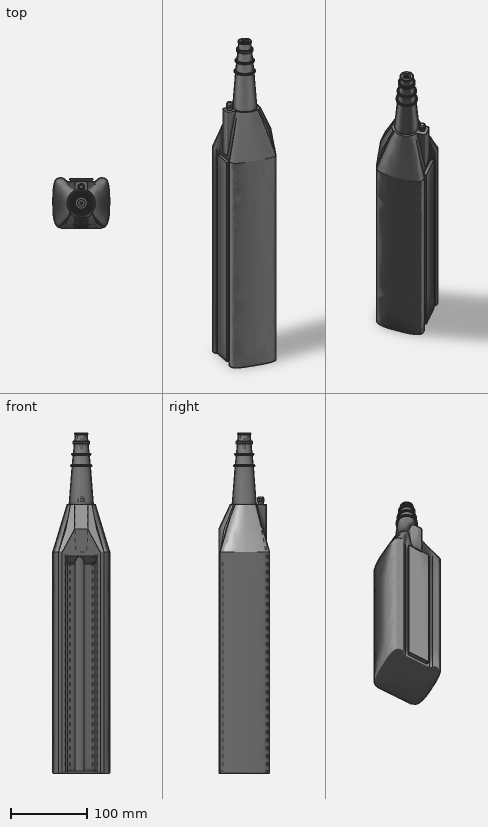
import cadquery as cq
import math

total_height = 448.0
shoulder_z = 291.2
front_crest_z = 321.3
neck_z = 353.5

half_width = 37.5
front_y = -33.5
lobe_y = 33.5
front_flat_half = 25.0
front_edge_x = 30.0
front_edge_y = -31.7
front_corner_mid = (36.2, -20.0)
rear_corner_mid = (36.1, 23.5)
lobe_x = 27.0
front_corner_direction = (0.85, 0.53)
side_direction = (0, 1)
lobe_direction = (-1, 0)
lobe_inner_mid = (23.3, 32.6)
lobe_foot = (21.2, 30.6)
back_half = 18.0
back_y = 28.4
bottom_fillet = 1.8

neck_radius = 18.6

nose_crest_half = 8.7
nose_crest_flank = (20.3, -26.5)
nose_neck_y = -18.4
nose_neck_flank = (14.2, -14.0)

recess_half = 21.0
recess_bottom_z = 3.4
recess_top_z = 286.0
recess_depth = 5.6
recess_side_run = 2.8
recess_top_run = 10.5
rib_x = -2.2
rib_radius = 6.2
rib_inset = 0.3

boss_half = 8.0
boss_rear_y = 29.0
boss_corner = 3.5

plate_root_y = 25.0
plate_foot_half = 14.2
plate_foot_y = 30.2
plate_lip_half = 15.4
plate_lip_y = 31.2
plate_face_half = 14.8
plate_face_y = 32.6

sleeve_base_radius = 16.0
sleeve_waist_radius = 12.0
sleeve_waist_z = 405.0
sleeve_top_radius = 7.6
sleeve_flange_radius = 8.8
sleeve_flange_height = 2.7
sleeve_barbs = ((435.2, 11.1, 4.0), (419.7, 12.7, 2.7), (404.8, 14.0, 2.7))
ring_chamfer = 0.9
sleeve_bore_diameter = 10.0
sleeve_bore_depth = 8.0
cable_hole_diameter = 3.0
cable_hole_depth = 20.0

eyelet_y = 21.6
eyelet_top_z = 363.7
eyelet_head_bottom_z = 357.6
eyelet_head_diameter = 8.4
eyelet_neck_diameter = 7.0
eyelet_chamfer_height = 2.0
eyelet_chamfer_width = 1.4
eyelet_hole_diameter = 3.0
eyelet_hole_z = 359.7


def mirrored(point):
    return (-point[0], point[1])


def body_outline(z):
    """Closed outline of the housing: flat front, bowed sides, two rear lobes."""
    front_run = [(front_edge_x, front_edge_y), front_corner_mid, (half_width, 0)]
    rear_run = [(half_width, 0), rear_corner_mid, (lobe_x, lobe_y)]
    return (
        cq.Workplane("XY", origin=(0, 0, z))
        .moveTo(0, front_y)
        .lineTo(front_flat_half, front_y)
        .lineTo(front_edge_x, front_edge_y)
        .spline(front_run, tangents=[front_corner_direction, side_direction])
        .spline(rear_run, tangents=[side_direction, lobe_direction])
        .threePointArc(lobe_inner_mid, lobe_foot)
        .lineTo(back_half, back_y)
        .lineTo(0, back_y)
        .mirrorY()
    )


def neck_outline():
    """Neck circle split into one arc for each edge of the housing outline."""
    corners = [
        (0, front_y), (front_flat_half, front_y), (front_edge_x, front_edge_y), (half_width, 0),
        (lobe_x, lobe_y), lobe_foot, (back_half, back_y), (0, back_y),
    ]
    angles = [math.atan2(y, x) for x, y in corners]

    def on_circle(angle):
        return (neck_radius * math.cos(angle), neck_radius * math.sin(angle))

    half = cq.Workplane("XY", origin=(0, 0, neck_z)).moveTo(*on_circle(angles[0]))
    for start, end in zip(angles, angles[1:]):
        half = half.threePointArc(on_circle((start + end) / 2), on_circle(end))
    return half.mirrorY()


def make_shoulder():
    wires = [body_outline(shoulder_z).val(), neck_outline().val()]
    return cq.Workplane(cq.Solid.makeLoft(wires, True))


def nose_wire(z, front_half, front, flank):
    points = [(-front_half, front), (front_half, front), flank, (flank[0], 0)]
    points += [(-flank[0], 0), mirrored(flank)]
    return cq.Workplane("XY", origin=(0, 0, z)).polyline(points).close().val()


def make_nose():
    low = nose_wire(shoulder_z, front_flat_half, front_y, (front_edge_x, front_edge_y))
    crest = nose_wire(front_crest_z, nose_crest_half, front_y, nose_crest_flank)
    top = nose_wire(neck_z, nose_crest_half, nose_neck_y, nose_neck_flank)
    lower = cq.Workplane(cq.Solid.makeLoft([low, crest], True))
    upper = cq.Workplane(cq.Solid.makeLoft([crest, top], True))
    return lower.union(upper)


def make_boss():
    return (
        cq.Workplane("XY", origin=(0, boss_rear_y / 2, shoulder_z))
        .rect(2 * boss_half, boss_rear_y)
        .extrude(neck_z - shoulder_z)
        .edges("|Z and >Y")
        .fillet(boss_corner)
    )


def recess_wire(y, half, top_z):
    return (
        cq.Workplane("XZ", origin=(0, y, 0))
        .moveTo(-half, recess_bottom_z)
        .lineTo(half, recess_bottom_z)
        .lineTo(half, top_z)
        .lineTo(-half, top_z)
        .close()
        .val()
    )


def make_recess():
    """Pocket with sloping sides and top, less the upright rib that stays in it."""
    floor_half = recess_half - recess_side_run
    floor_top_z = recess_top_z - recess_top_run
    mouth = recess_wire(front_y, recess_half, recess_top_z)
    floor = recess_wire(front_y + recess_depth, floor_half, floor_top_z)
    pocket = cq.Workplane(cq.Solid.makeLoft([mouth, floor], True))
    rib = (
        cq.Workplane("XY")
        .center(rib_x, front_y + rib_inset + rib_radius)
        .circle(rib_radius)
        .extrude(shoulder_z)
    )
    return pocket.cut(rib)


def make_plate():
    return (
        cq.Workplane("XY", origin=(0, 0, recess_bottom_z))
        .moveTo(0, plate_root_y)
        .lineTo(plate_foot_half, plate_root_y)
        .lineTo(plate_foot_half, plate_foot_y)
        .lineTo(plate_lip_half, plate_lip_y)
        .lineTo(plate_face_half, plate_face_y)
        .lineTo(0, plate_face_y)
        .mirrorY()
        .extrude(recess_top_z - recess_bottom_z)
    )


def make_housing():
    body = body_outline(0).extrude(shoulder_z).faces("<Z").edges().fillet(bottom_fillet)
    body = body.union(make_shoulder()).union(make_nose()).union(make_boss())
    return body.cut(make_recess()).union(make_plate())


def make_ring(bottom_z, radius, height):
    return (
        cq.Workplane("XY", origin=(0, 0, bottom_z))
        .circle(radius)
        .extrude(height)
        .edges()
        .chamfer(ring_chamfer)
    )


def make_sleeve():
    cone = (
        cq.Workplane("XZ")
        .moveTo(0, neck_z)
        .lineTo(sleeve_base_radius, neck_z)
        .lineTo(sleeve_waist_radius, sleeve_waist_z)
        .lineTo(sleeve_top_radius, total_height)
        .lineTo(0, total_height)
        .close()
        .revolve(360, (0, 0, 0), (0, 1, 0))
    )
    flange_z = total_height - sleeve_flange_height
    cone = cone.union(make_ring(flange_z, sleeve_flange_radius, sleeve_flange_height))
    for middle_z, radius, height in sleeve_barbs:
        cone = cone.union(make_ring(middle_z - height / 2, radius, height))
    top = cone.faces(">Z").workplane()
    bored = top.circle(sleeve_bore_diameter / 2).cutBlind(-sleeve_bore_depth)
    return bored.faces(">Z").workplane().circle(cable_hole_diameter / 2).cutBlind(-cable_hole_depth)


def make_eyelet():
    neck = (
        cq.Workplane("XY", origin=(0, eyelet_y, neck_z))
        .circle(eyelet_neck_diameter / 2)
        .extrude(eyelet_head_bottom_z - neck_z)
    )
    head = (
        cq.Workplane("XY", origin=(0, eyelet_y, eyelet_head_bottom_z))
        .circle(eyelet_head_diameter / 2)
        .extrude(eyelet_top_z - eyelet_head_bottom_z)
        .faces(">Z")
        .edges()
        .chamfer(eyelet_chamfer_height, eyelet_chamfer_width)
    )
    hole = (
        cq.Workplane("YZ", origin=(0, eyelet_y, eyelet_hole_z))
        .circle(eyelet_hole_diameter / 2)
        .extrude(eyelet_head_diameter, both=True)
    )
    return neck.union(head).cut(hole)


housing = make_housing()
sleeve = make_sleeve()
eyelet = make_eyelet()

result = cq.Compound.makeCompound([housing.val(), sleeve.val(), eyelet.val()])